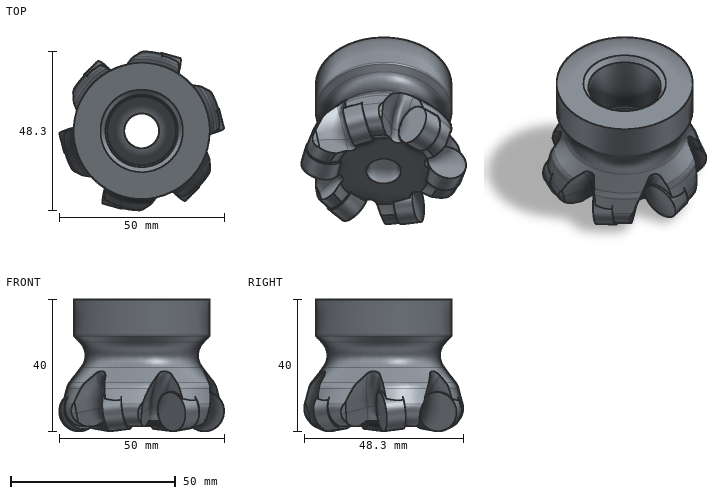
import cadquery as cq
import math


ORIGIN = (0, 0, 0)
X_AXIS = (1, 0, 0)
Y_AXIS = (0, 1, 0)
Z_AXIS = (0, 0, 1)

TOOTH_COUNT = 6
INSERT_DIAMETER = 12.0
INSERT_THICKNESS = 6.0
INSERT_CENTRE_RADIUS = 19.2
INSERT_CENTRE_ANGLE = -2.0
AXIAL_RAKE = 7.0
RADIAL_RAKE = 14.5

BODY_TOP_Z = 40.0
COLLAR_BOTTOM_Z = 29.35
NECK_Z = 23.0
SHOULDER_TOP_Z = 14.9
SKIRT_BOTTOM_Z = 8.45
BODY_BOTTOM_Z = 1.5
RECESS_Z = 3.2
BORE_FLOOR_Z = 20.0

COLLAR_RADIUS = 41.3 / 2
NECK_RADIUS = 17.1
NECK_ARC = 5.8
COLLAR_EDGE_ARC = 0.8
SHOULDER_ARC = 5.1
RIM_ARC = 5.6
RECESS_RADIUS = 14.15
RECESS_MOUTH_RADIUS = 17.1

COLLAR_SLOPE = 45.0
CONE_SLOPE = 37.5
SKIRT_SLOPE = 15.0

BORE_DIAMETER = 22.0
BORE_MOUTH_DIAMETER = 25.0
BORE_MOUTH_DEPTH = 1.5
BORE_FLOOR_DIAMETER = 20.8
BOLT_HOLE_DIAMETER = 10.5

GULLET_LEAN = 12.0
GULLET_SEAT_SETBACK = 0.75
GULLET_ARC = 2.45
GULLET_ARC_X = -4.1
GULLET_WALL_SLOPE = 27.3
GULLET_CORNER_FORWARD = 10.5
GULLET_SLOT_TOP = 0.5
GULLET_SWEEP_RADIUS = 24.0
GULLET_SWEEP_ANGLE = 40.0
GULLET_OUTER_X = 12.5
GULLET_FRONT = 22.5
GULLET_DEPTH = 12.5


def on_arc(centre, radius, angle):
    """Point of a circle, at an angle in degrees from the first axis."""
    turn = math.radians(angle)
    return (centre[0] + radius * math.cos(turn), centre[1] + radius * math.sin(turn))


def slide(start, slope, height):
    """Point reached from start on a line that widens downwards at the given slope, at a height."""
    return (start[0] + (start[1] - height) * math.tan(math.radians(slope)), height)


def make_blank():
    """Turned outside of the body, solid down to its underside recess."""
    neck = (NECK_RADIUS + NECK_ARC, NECK_Z)
    neck_top = on_arc(neck, NECK_ARC, 180 - COLLAR_SLOPE)
    neck_bottom = on_arc(neck, NECK_ARC, 180 + CONE_SLOPE)

    edge = (COLLAR_RADIUS - COLLAR_EDGE_ARC, COLLAR_BOTTOM_Z)
    edge_end = on_arc(edge, COLLAR_EDGE_ARC, -COLLAR_SLOPE)

    shoulder_top = slide(neck_bottom, CONE_SLOPE, SHOULDER_TOP_Z)
    shoulder = on_arc(shoulder_top, SHOULDER_ARC, 180 + CONE_SLOPE)
    shoulder_bottom = on_arc(shoulder, SHOULDER_ARC, SKIRT_SLOPE)

    skirt_bottom = slide(shoulder_bottom, SKIRT_SLOPE, SKIRT_BOTTOM_Z)
    rim = on_arc(skirt_bottom, RIM_ARC, 180 + SKIRT_SLOPE)
    rim_bottom = (rim[0], BODY_BOTTOM_Z)

    profile = (
        cq.Workplane("XZ")
        .moveTo(0, BODY_TOP_Z)
        .lineTo(COLLAR_RADIUS, BODY_TOP_Z)
        .lineTo(COLLAR_RADIUS, COLLAR_BOTTOM_Z)
        .threePointArc(on_arc(edge, COLLAR_EDGE_ARC, -COLLAR_SLOPE / 2), edge_end)
        .lineTo(*neck_top)
        .threePointArc((NECK_RADIUS, NECK_Z), neck_bottom)
        .lineTo(*shoulder_top)
        .threePointArc(on_arc(shoulder, SHOULDER_ARC, (CONE_SLOPE + SKIRT_SLOPE) / 2), shoulder_bottom)
        .lineTo(*skirt_bottom)
        .threePointArc(on_arc(rim, RIM_ARC, -45), rim_bottom)
        .lineTo(RECESS_MOUTH_RADIUS, BODY_BOTTOM_Z)
        .lineTo(RECESS_RADIUS, RECESS_Z)
        .lineTo(0, RECESS_Z)
        .close()
    )
    return profile.revolve(360, (0, 0), (0, 1))


def make_bore():
    """Arbor bore with a chamfered mouth and floor edge, and the bolt hole below it."""
    bore_radius = BORE_DIAMETER / 2
    floor_radius = BORE_FLOOR_DIAMETER / 2
    floor_chamfer = bore_radius - floor_radius
    bolt_radius = BOLT_HOLE_DIAMETER / 2
    profile = cq.Workplane("XZ").polyline([
        (0, BODY_TOP_Z),
        (BORE_MOUTH_DIAMETER / 2, BODY_TOP_Z),
        (bore_radius, BODY_TOP_Z - BORE_MOUTH_DEPTH),
        (bore_radius, BORE_FLOOR_Z + floor_chamfer),
        (floor_radius, BORE_FLOOR_Z),
        (bolt_radius, BORE_FLOOR_Z),
        (bolt_radius, 0),
        (0, 0),
    ]).close()
    return profile.revolve(360, (0, 0), (0, 1))


def place_in_tooth(shape, index):
    """Move a shape, drawn about the cutting face centre with the face towards -Y, to a tooth."""
    tilted = shape.rotate(ORIGIN, X_AXIS, AXIAL_RAKE)
    turned = tilted.rotate(ORIGIN, Z_AXIS, RADIAL_RAKE - INSERT_CENTRE_ANGLE)
    insert_z = INSERT_DIAMETER / 2 * math.cos(math.radians(AXIAL_RAKE))
    moved = turned.translate((INSERT_CENTRE_RADIUS, 0, insert_z))
    return moved.rotate(ORIGIN, Z_AXIS, INSERT_CENTRE_ANGLE + index * 360 / TOOTH_COUNT)


def make_insert(index):
    """Round insert, its cutting face centred on the tooth."""
    disc = cq.Workplane("XZ").circle(INSERT_DIAMETER / 2).extrude(-INSERT_THICKNESS)
    return place_in_tooth(disc, index)


def gullet_section():
    """Cross-section of a gullet: flat seat, round inner corner, sloped back wall, outer corner."""
    arc = (GULLET_ARC_X, GULLET_SEAT_SETBACK - GULLET_ARC)
    arc_end = on_arc(arc, GULLET_ARC, 180 + GULLET_WALL_SLOPE)
    corner = slide(arc_end, GULLET_WALL_SLOPE, -GULLET_CORNER_FORWARD)
    return (
        cq.Workplane("XY", origin=(0, 0, GULLET_SLOT_TOP))
        .moveTo(GULLET_OUTER_X, GULLET_SEAT_SETBACK)
        .lineTo(GULLET_ARC_X, GULLET_SEAT_SETBACK)
        .threePointArc(on_arc(arc, GULLET_ARC, 135), arc_end)
        .lineTo(*corner)
        .lineTo(corner[0], -GULLET_FRONT)
        .lineTo(GULLET_OUTER_X, -GULLET_FRONT)
        .close()
    )


def make_gullet(index):
    """Chip gullet: a straight slot at the bottom that curves outwards above the face centre."""
    sweep_axis_x = GULLET_ARC_X - GULLET_ARC + GULLET_SWEEP_RADIUS
    slot = gullet_section().extrude(-GULLET_DEPTH)
    run_out = gullet_section().revolve(GULLET_SWEEP_ANGLE, (sweep_axis_x, 0), (sweep_axis_x, 1))
    leaning = slot.union(run_out).rotate(ORIGIN, Y_AXIS, GULLET_LEAN)
    return place_in_tooth(leaning, index)


inserts = [make_insert(index) for index in range(TOOTH_COUNT)]

body = make_blank().cut(make_bore())
for index, insert in enumerate(inserts):
    body = body.cut(make_gullet(index)).cut(insert)

result = cq.Compound.makeCompound([body.solids().val(), *[insert.val() for insert in inserts]])